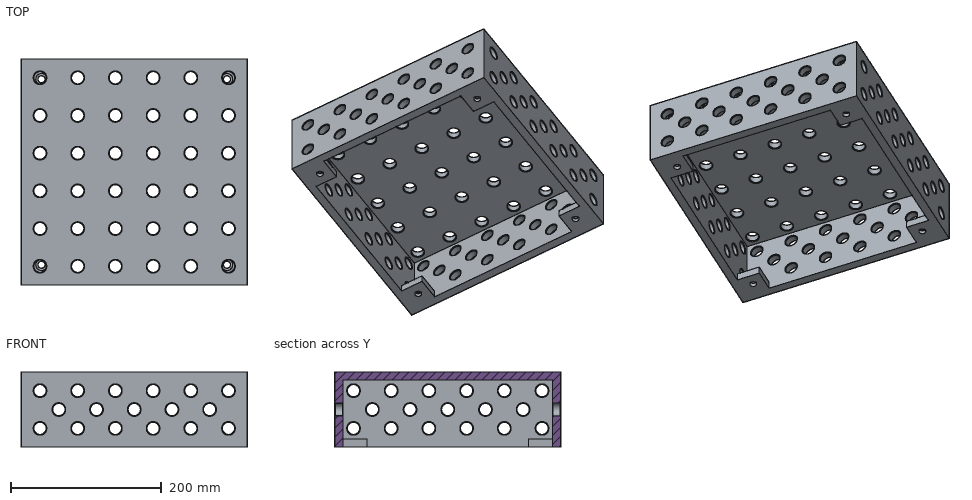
import cadquery as cq

side = 300.0
height = side / 3
wall = 11.0

grid_count = 6
pitch = side / grid_count

hole_diameter = 16.2
chamfer = 0.95

screw_inset = 27.0
lug_size = 2 * (screw_inset - wall)
lug_thickness = wall
screw_diameter = 9.0
counterbore_diameter = 15.3
counterbore_depth = lug_thickness / 2


def open_box():
    """Hollow box with its bottom left open."""
    cavity_side = side - 2 * wall
    cavity = cq.Workplane("XY").box(cavity_side, cavity_side, height).translate((0, 0, -wall))
    return cq.Workplane("XY").box(side, side, height).cut(cavity)


def corner_lugs():
    """Square foot lugs, flush with the bottom rim, drilled for screws let in from above."""
    screw_spacing = side - 2 * screw_inset
    lug_top = -height / 2 + lug_thickness
    return (
        cq.Workplane("XY", origin=(0, 0, lug_top - lug_thickness / 2))
        .rect(screw_spacing, screw_spacing, forConstruction=True)
        .vertices()
        .box(lug_size, lug_size, lug_thickness)
        .faces(">Z")
        .workplane(origin=(0, 0, lug_top))
        .rect(screw_spacing, screw_spacing, forConstruction=True)
        .vertices()
        .cboreHole(screw_diameter, counterbore_diameter, counterbore_depth)
    )


def centred_row(count):
    """Positions of a row of holes at the grid pitch, centred on zero."""
    return [(i - (count - 1) / 2) * pitch for i in range(count)]


def wall_hole_cutter():
    """Hole through one wall thickness, chamfered at both ends, running down from Z = 0."""
    radius = hole_diameter / 2
    mouth_radius = radius + chamfer
    return (
        cq.Workplane("XZ")
        .moveTo(0, 0)
        .lineTo(mouth_radius, 0)
        .lineTo(radius, -chamfer)
        .lineTo(radius, chamfer - wall)
        .lineTo(mouth_radius, -wall)
        .lineTo(0, -wall)
        .close()
        .revolve(360, (0, 0, 0), (0, 1, 0))
        .val()
    )


def top_holes():
    """Square grid of holes through the top plate."""
    cutter = wall_hole_cutter()
    positions = centred_row(grid_count)
    return [cutter.translate(cq.Vector(x, y, height / 2)) for x in positions for y in positions]


def side_holes():
    """Three staggered rows of holes through each of the four walls."""
    front_cutter = wall_hole_cutter().rotate(cq.Vector(0, 0, 0), cq.Vector(1, 0, 0), 90)
    rows = [(pitch / 2, grid_count), (0, grid_count - 1), (-pitch / 2, grid_count)]
    front_holes = [
        front_cutter.translate(cq.Vector(x, -side / 2, z))
        for z, count in rows
        for x in centred_row(count)
    ]
    return [
        hole.rotate(cq.Vector(0, 0, 0), cq.Vector(0, 0, 1), angle)
        for angle in (0, 90, 180, 270)
        for hole in front_holes
    ]


body = open_box().union(corner_lugs())
drilled = body.val().cut(*top_holes(), *side_holes())
result = cq.Workplane("XY").newObject(drilled.Solids())